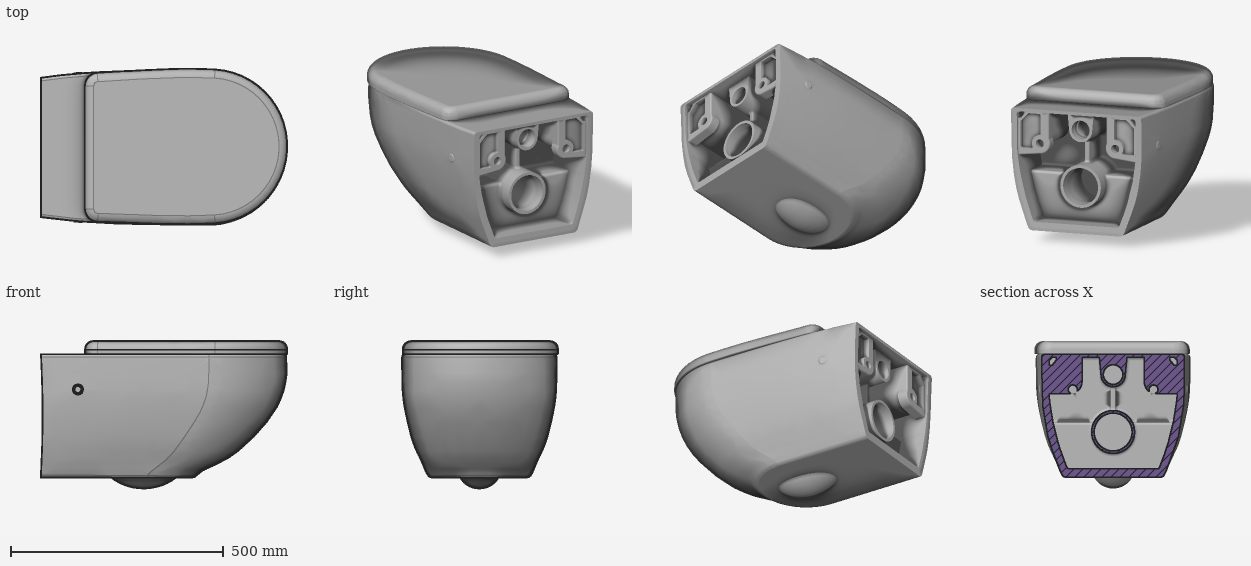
import cadquery as cq
import math


BOWL_HEIGHT = 290.0
BOWL_RIM_ROUND = 7.0
BOWL_FOOT_ROUND = 12.5
BOWL_SECTIONS = [
    (116.5, 116.5, 249.0, 364.0),
    (131.5, 134.7, 286.7, 422.0),
    (144.7, 151.7, 320.4, 475.5),
    (154.0, 163.5, 345.6, 511.9),
    (159.7, 171.8, 368.6, 541.7),
    (163.0, 178.4, 385.0, 562.4),
    (163.5, 181.2, 392.8, 574.2),
    (163.5, 181.9, 395.0, 578.6),
    (163.0, 179.8, 395.0, 576.8),
]
BOWL_SIDE_SWELL = 3.4
WALL_FACE_HOLLOW = 4.0
WALL_FACE_FOOT = 7.6

TRAP_X = 241.7
TRAP_DROP = 25.9
TRAP_TUBE_RADIUS = 51.5
TRAP_OUTER_RADIUS = 124.0
TRAP_ROOT_HEIGHT = 15.0

RECESS_CEILING = 282.5
RECESS_FLOOR = 20.7
RECESS_SIDE = 149.7
RECESS_SIDE_BEND = 190.0
RECESS_WAIST = (134.2, 101.0)
RECESS_FLOOR_HALF_WIDTH = 107.0
RECESS_CORNER_ROUND = 7.0
LOWER_WALL_X = 71.0
UPPER_WALL_X = 144.0
SHELF_HEIGHT = 129.7
CAST_ROUND = 7.0
FAR_WALL_ROUND = 8.0

OUTLET_HEIGHT = 107.0
OUTLET_DIAMETER = 102.0
OUTLET_BORE = 88.0
OUTLET_BORE_END_X = 150.0
SPOUT_FACE_X = 30.0

INLET_HEIGHT = 242.0
INLET_BOSS_RADIUS = 29.0
INLET_BOSS_TOP_HALF_WIDTH = 33.0
INLET_MOUTH = 45.0
INLET_MOUTH_DEPTH = 30.0
INLET_BORE = 38.98
INLET_BORE_END_X = 150.0

RIB_THICKNESS = 12.0
RIB_EDGE_ROUND = 3.0
RIB_END_ROUND = 6.0

PAD_FACE_X = 9.5
BOLT_Y = 95.0
BOLT_HEIGHT = 207.0
BOLT_HOLE = 20.0
BOLT_HOLE_DEPTH = 30.0
PAD_BOSS_RADIUS = 25.0
PAD_INNER_Y = 72.5
PAD_BOTTOM_DROP = 6.0
PAD_EDGE_ROUND = 4.0
PAD_DEPTH = 24.5
PAD_BACKING_RADIUS = 30.0
PAD_BACKING_BOTTOM = 196.0
NOTCH_WIDTH = 15.7
NOTCH_HEIGHT = 18.0
NOTCH_SHORT_SIDE = 6.5
NOTCH_DEPTH = 35.0
WINDOW_DEPTH = 14.0
WINDOW_BOSS_RADIUS = 20.0
WINDOW_INNER_Y = 92.7
WINDOW_OUTER_Y = 143.0
WINDOW_BOTTOM = 194.0
WINDOW_TOP = 277.7
WINDOW_CLIP = 20.0
WINDOW_ROUND = 3.0

PLUG_X = 87.3
PLUG_HEIGHT = 207.0
PLUG_Y = 172.6
PLUG_TILT = 5.0
PLUG_DIAMETER = 24.0
PLUG_FACE = 16.0
PLUG_PROUD = 2.5
PLUG_SEAT_DEPTH = 4.0
PLUG_STEM = 16.0
PLUG_STEM_LENGTH = 12.0

COVER_BACK_X = 103.8
COVER_NOSE_X = 579.45
COVER_SHOULDER_X = 409.0
COVER_BACK_HALF_WIDTH = 173.5
COVER_NOSE_RADIUS = 181.2
COVER_NOSE_Y = 2.7
COVER_SIDE_SWELL = 1.5
COVER_CORNER_RADIUS = 30.0
SEAT_THICKNESS = 10.0
SEAT_EDGE_ROUND = 2.5
COVER_TOP = 320.96
LID_ROUND = 20.0

ALONG_X = cq.Vector(1, 0, 0)


def at_wall(x):
    """Workplane facing +X at the given X, with local axes Y and Z."""
    return cq.Workplane("YZ", origin=(x, 0, 0))


def bowl_section(height, back, shoulder, shoulder_x, nose_x):
    """Closed horizontal outline: flat back, swelling sides and a half-elliptic nose."""
    right_back = cq.Vector(0, -back, height)
    left_back = cq.Vector(0, back, height)
    right_shoulder = cq.Vector(shoulder_x, -shoulder, height)
    left_shoulder = cq.Vector(shoulder_x, shoulder, height)
    right_chord = right_shoulder - right_back
    swell = cq.Vector(right_chord.x, BOWL_SIDE_SWELL * right_chord.y, 0)
    right_side = cq.Edge.makeSpline([right_back, right_shoulder], [swell, ALONG_X])
    left_side = cq.Edge.makeSpline(
        [left_shoulder, left_back], [-ALONG_X, cq.Vector(-swell.x, swell.y, 0)]
    )
    nose = cq.Edge.makeEllipse(
        nose_x - shoulder_x,
        shoulder,
        cq.Vector(shoulder_x, 0, height),
        angle1=-90,
        angle2=90,
    )
    back_edge = cq.Edge.makeLine(left_back, right_back)
    return cq.Wire.assembleEdges([right_side, nose, left_side, back_edge])


def trap_bulge():
    """Lowest part of a ring lying in the X-Z plane."""
    ring_radius = TRAP_OUTER_RADIUS - TRAP_TUBE_RADIUS
    ring = cq.Solid.makeTorus(
        ring_radius,
        TRAP_TUBE_RADIUS,
        cq.Vector(TRAP_X, 0, TRAP_OUTER_RADIUS - TRAP_DROP),
        cq.Vector(0, 1, 0),
    )
    keep = cq.Workplane("XY").workplane(offset=-TRAP_DROP - 1).center(TRAP_X, 0).rect(
        2 * TRAP_OUTER_RADIUS, 2 * TRAP_OUTER_RADIUS
    ).extrude(TRAP_DROP + 1 + TRAP_ROOT_HEIGHT)
    return keep.intersect(cq.Workplane(ring))


def bowl_shell():
    spacing = BOWL_HEIGHT / (len(BOWL_SECTIONS) - 1)
    sections = [
        bowl_section(level * spacing, *section) for level, section in enumerate(BOWL_SECTIONS)
    ]
    shell = cq.Workplane(cq.Solid.makeLoft(sections))
    shell = shell.faces(">Z").edges("not(<X)").fillet(BOWL_RIM_ROUND)
    shell = shell.faces("<Z").edges("not(<X)").fillet(BOWL_FOOT_ROUND)
    hollow = (
        cq.Workplane("XZ")
        .moveTo(0, WALL_FACE_FOOT)
        .threePointArc(
            (WALL_FACE_HOLLOW, (WALL_FACE_FOOT + BOWL_HEIGHT) / 2), (0, BOWL_HEIGHT)
        )
        .close()
        .extrude(BOWL_HEIGHT, both=True)
    )
    return shell.cut(hollow)


def recess_blank(depth, bottom):
    """Recess outline cut from the wall face to a depth, kept above a height."""
    waist_y, waist_z = RECESS_WAIST
    blank = (
        at_wall(-1)
        .moveTo(-RECESS_FLOOR_HALF_WIDTH, RECESS_FLOOR)
        .lineTo(RECESS_FLOOR_HALF_WIDTH, RECESS_FLOOR)
        .threePointArc((waist_y, waist_z), (RECESS_SIDE, RECESS_SIDE_BEND))
        .lineTo(RECESS_SIDE, RECESS_CEILING)
        .lineTo(-RECESS_SIDE, RECESS_CEILING)
        .lineTo(-RECESS_SIDE, RECESS_SIDE_BEND)
        .threePointArc((-waist_y, waist_z), (-RECESS_FLOOR_HALF_WIDTH, RECESS_FLOOR))
        .close()
        .extrude(depth + 1)
    )
    corners = cq.selectors.BoxSelector(
        (-2, -RECESS_SIDE - 1, RECESS_CEILING - 1), (depth + 1, RECESS_SIDE + 1, RECESS_CEILING + 1)
    )
    blank = blank.edges("|X").edges(corners).fillet(RECESS_CORNER_ROUND)
    blank = blank.faces("<Z").edges("|X").fillet(RECESS_CORNER_ROUND)
    if bottom > RECESS_FLOOR:
        below = cq.Workplane("XY").box(
            4 * UPPER_WALL_X, 4 * RECESS_SIDE, bottom, centered=(True, True, False)
        )
        blank = blank.cut(below)
    return blank


def inlet_boss():
    """Tongue hanging from the ceiling, rounded about the inlet."""
    rise = RECESS_CEILING - INLET_HEIGHT
    reach = math.hypot(INLET_BOSS_TOP_HALF_WIDTH, rise)
    tangent = math.atan2(rise, INLET_BOSS_TOP_HALF_WIDTH) - math.acos(INLET_BOSS_RADIUS / reach)
    flank_y = INLET_BOSS_RADIUS * math.cos(tangent)
    flank_z = INLET_HEIGHT + INLET_BOSS_RADIUS * math.sin(tangent)
    top = RECESS_CEILING + CAST_ROUND
    return (
        at_wall(SPOUT_FACE_X)
        .moveTo(-flank_y, flank_z)
        .threePointArc((0, INLET_HEIGHT - INLET_BOSS_RADIUS), (flank_y, flank_z))
        .lineTo(INLET_BOSS_TOP_HALF_WIDTH, RECESS_CEILING)
        .lineTo(INLET_BOSS_TOP_HALF_WIDTH, top)
        .lineTo(-INLET_BOSS_TOP_HALF_WIDTH, top)
        .lineTo(-INLET_BOSS_TOP_HALF_WIDTH, RECESS_CEILING)
        .close()
        .extrude(UPPER_WALL_X + 1 - SPOUT_FACE_X)
    )


def outlet_pipe():
    return (
        at_wall(SPOUT_FACE_X)
        .center(0, OUTLET_HEIGHT)
        .circle(OUTLET_DIAMETER / 2)
        .extrude(UPPER_WALL_X + 1 - SPOUT_FACE_X)
    )


def rib():
    return (
        cq.Workplane("XY")
        .workplane(offset=OUTLET_HEIGHT)
        .center((LOWER_WALL_X + UPPER_WALL_X + 1) / 2, 0)
        .rect(UPPER_WALL_X + 1 - LOWER_WALL_X, RIB_THICKNESS)
        .extrude(INLET_HEIGHT - OUTLET_HEIGHT)
        .edges("<X and |Z")
        .fillet(RIB_EDGE_ROUND)
    )


def mounting_pad(side):
    """Pad across the upper recess corner on one side (+1 for +Y, -1 for -Y)."""
    boss_top = BOLT_HEIGHT + math.sqrt(PAD_BOSS_RADIUS**2 - (BOLT_Y - PAD_INNER_Y)**2)
    bottom = BOLT_HEIGHT - PAD_BOSS_RADIUS
    diagonal = PAD_BOSS_RADIUS * math.sqrt(0.5)
    outer_y = RECESS_SIDE + 1
    top = RECESS_CEILING + 1
    return (
        at_wall(PAD_FACE_X)
        .moveTo(side * PAD_INNER_Y, top)
        .lineTo(side * PAD_INNER_Y, boss_top)
        .threePointArc(
            (side * (BOLT_Y - diagonal), BOLT_HEIGHT - diagonal), (side * BOLT_Y, bottom)
        )
        .lineTo(side * outer_y, bottom - PAD_BOTTOM_DROP)
        .lineTo(side * outer_y, top)
        .close()
        .extrude(PAD_DEPTH)
        .faces("<X")
        .edges(cq.selectors.BoxSelector(
            (0, -outer_y + 1, 0), (PAD_FACE_X + 1, outer_y - 1, top - 1)
        ))
        .fillet(PAD_EDGE_ROUND)
    )


def pad_window(side):
    """Blind pocket in the pad face, stepping around the bolt hole."""
    window = (
        at_wall(PAD_FACE_X)
        .moveTo(side * WINDOW_INNER_Y, WINDOW_BOTTOM)
        .lineTo(side * WINDOW_OUTER_Y, WINDOW_BOTTOM)
        .lineTo(side * WINDOW_OUTER_Y, WINDOW_TOP - WINDOW_CLIP)
        .lineTo(side * (WINDOW_OUTER_Y - WINDOW_CLIP), WINDOW_TOP)
        .lineTo(side * WINDOW_INNER_Y, WINDOW_TOP)
        .close()
        .extrude(WINDOW_DEPTH)
    )
    bolt_surround = (
        at_wall(PAD_FACE_X)
        .center(side * BOLT_Y, BOLT_HEIGHT)
        .circle(WINDOW_BOSS_RADIUS)
        .extrude(WINDOW_DEPTH)
    )
    return window.cut(bolt_surround).edges("|X").fillet(WINDOW_ROUND)


def pad_backing(side):
    """Solid corner between the pad and the far wall, a little smaller than the pad."""
    outer_y = RECESS_SIDE + 1
    top = RECESS_CEILING + 1
    radius = PAD_BACKING_RADIUS
    centre_y = PAD_INNER_Y + radius
    centre_z = PAD_BACKING_BOTTOM + radius
    diagonal = radius * math.sqrt(0.5)
    start_x = PAD_FACE_X + PAD_DEPTH
    return (
        at_wall(start_x)
        .moveTo(side * PAD_INNER_Y, top)
        .lineTo(side * PAD_INNER_Y, centre_z)
        .threePointArc(
            (side * (centre_y - diagonal), centre_z - diagonal),
            (side * centre_y, PAD_BACKING_BOTTOM),
        )
        .lineTo(side * outer_y, PAD_BACKING_BOTTOM)
        .lineTo(side * outer_y, top)
        .close()
        .extrude(UPPER_WALL_X + 1 - start_x)
    )


def pad_notch(side):
    """Clipped corner of the pad, leaving a small opening under the ceiling."""
    return (
        at_wall(PAD_FACE_X)
        .moveTo(side * RECESS_SIDE, RECESS_CEILING - RECESS_CORNER_ROUND)
        .lineTo(side * (RECESS_SIDE - RECESS_CORNER_ROUND), RECESS_CEILING)
        .lineTo(side * (RECESS_SIDE - NOTCH_WIDTH), RECESS_CEILING)
        .lineTo(side * (RECESS_SIDE - NOTCH_WIDTH), RECESS_CEILING - NOTCH_SHORT_SIDE)
        .lineTo(side * (RECESS_SIDE - NOTCH_SHORT_SIDE), RECESS_CEILING - NOTCH_HEIGHT)
        .lineTo(side * RECESS_SIDE, RECESS_CEILING - NOTCH_HEIGHT)
        .close()
        .extrude(NOTCH_DEPTH)
    )


def bore(diameter, y, z, start_x, end_x):
    return at_wall(start_x).center(y, z).circle(diameter / 2).extrude(end_x - start_x)


def rounded_recess(recess):
    """Round the rib ends, the far wall between the pads, the shelf lip and the outlet root."""
    slack = 0.1
    outlet_reach = OUTLET_DIAMETER / 2 + slack
    box = cq.selectors.BoxSelector
    rib_half = RIB_THICKNESS / 2 + slack
    rib_ends = box(
        (LOWER_WALL_X - slack, -rib_half, OUTLET_HEIGHT),
        (UPPER_WALL_X - slack, rib_half, INLET_HEIGHT),
    )
    far_wall = box(
        (UPPER_WALL_X - slack, slack - PAD_INNER_Y, SHELF_HEIGHT - slack),
        (UPPER_WALL_X + slack, PAD_INNER_Y - slack, RECESS_CEILING + slack),
    )
    lip = box(
        (LOWER_WALL_X - slack, -RECESS_SIDE, SHELF_HEIGHT - slack),
        (LOWER_WALL_X + slack, RECESS_SIDE, SHELF_HEIGHT + slack),
    )
    outlet_root = box(
        (LOWER_WALL_X - slack, -outlet_reach, OUTLET_HEIGHT - outlet_reach),
        (LOWER_WALL_X + slack, outlet_reach, SHELF_HEIGHT - slack),
    )
    recess = recess.edges("not(|Z)").edges(rib_ends).fillet(RIB_END_ROUND)
    recess = recess.faces(">X").edges(far_wall).fillet(FAR_WALL_ROUND)
    recess = recess.edges(lip).fillet(CAST_ROUND)
    return recess.edges("%CIRCLE").edges(outlet_root).fillet(CAST_ROUND)


def make_bowl():
    bowl = bowl_shell()
    bowl = bowl.union(trap_bulge())
    recess = recess_blank(LOWER_WALL_X, RECESS_FLOOR)
    recess = recess.union(recess_blank(UPPER_WALL_X, SHELF_HEIGHT))
    recess = recess.cut(outlet_pipe()).cut(inlet_boss()).cut(rib())
    for side in (1, -1):
        recess = recess.cut(mounting_pad(side)).cut(pad_backing(side))
    recess = rounded_recess(recess)
    bowl = bowl.cut(recess)
    bowl = bowl.cut(bore(OUTLET_BORE, 0, OUTLET_HEIGHT, SPOUT_FACE_X, OUTLET_BORE_END_X))
    bowl = bowl.cut(bore(INLET_BORE, 0, INLET_HEIGHT, SPOUT_FACE_X, INLET_BORE_END_X))
    mouth_end = SPOUT_FACE_X + INLET_MOUTH_DEPTH
    bowl = bowl.cut(bore(INLET_MOUTH, 0, INLET_HEIGHT, SPOUT_FACE_X, mouth_end))
    for side in (1, -1):
        hole_end = PAD_FACE_X + BOLT_HOLE_DEPTH
        bowl = bowl.cut(bore(BOLT_HOLE, side * BOLT_Y, BOLT_HEIGHT, PAD_FACE_X, hole_end))
        bowl = bowl.cut(pad_window(side)).cut(pad_notch(side))
    return bowl


def make_plug(side):
    """Round cover plug with a bevelled head and a stem, tilted to sit flush on the side."""
    bevel = (PLUG_DIAMETER - PLUG_FACE) / 2
    tilt = math.radians(PLUG_TILT)
    outward = cq.Vector(-math.sin(tilt), side * math.cos(tilt), 0)
    axis = cq.Plane(
        origin=(PLUG_X, side * PLUG_Y, PLUG_HEIGHT), xDir=(0, 0, 1), normal=outward.toTuple()
    )
    head = (
        cq.Workplane(axis)
        .workplane(offset=-PLUG_SEAT_DEPTH)
        .circle(PLUG_DIAMETER / 2)
        .extrude(PLUG_SEAT_DEPTH + PLUG_PROUD)
        .faces(cq.selectors.DirectionMinMaxSelector(outward))
        .chamfer(PLUG_PROUD, bevel)
    )
    stem = (
        cq.Workplane(axis)
        .workplane(offset=-PLUG_SEAT_DEPTH - PLUG_STEM_LENGTH)
        .circle(PLUG_STEM / 2)
        .extrude(PLUG_STEM_LENGTH)
    )
    return head.union(stem)


def cover_outline(height):
    """Plan outline shared by the seat and the lid, slightly fuller on +Y than on -Y."""
    nose_centre_x = COVER_NOSE_X - COVER_NOSE_RADIUS
    past_centre = COVER_SHOULDER_X - nose_centre_x
    shoulder_half = math.sqrt(COVER_NOSE_RADIUS**2 - past_centre**2)
    right = COVER_NOSE_Y - shoulder_half
    left = COVER_NOSE_Y + shoulder_half
    back = COVER_BACK_HALF_WIDTH
    length = COVER_SHOULDER_X - COVER_BACK_X
    right_flare = (length, -COVER_SIDE_SWELL * (-right - back))
    left_flare = (-length, -COVER_SIDE_SWELL * (left - back))
    into_nose = (shoulder_half, past_centre)
    out_of_nose = (-shoulder_half, past_centre)
    return (
        cq.Workplane("XY", origin=(0, 0, height))
        .moveTo(COVER_BACK_X, -back)
        .spline([(COVER_SHOULDER_X, right)], tangents=[right_flare, into_nose], includeCurrent=True)
        .threePointArc((COVER_NOSE_X, COVER_NOSE_Y), (COVER_SHOULDER_X, left))
        .spline([(COVER_BACK_X, back)], tangents=[out_of_nose, left_flare], includeCurrent=True)
        .close()
    )


def cover_slab(bottom, thickness):
    slab = cover_outline(bottom).extrude(thickness)
    return slab.edges("|Z and <X").fillet(COVER_CORNER_RADIUS)


def make_seat():
    return cover_slab(BOWL_HEIGHT, SEAT_THICKNESS).faces("<Z").edges().fillet(SEAT_EDGE_ROUND)


def make_lid():
    bottom = BOWL_HEIGHT + SEAT_THICKNESS
    return cover_slab(bottom, COVER_TOP - bottom).faces(">Z").edges().fillet(LID_ROUND)


bowl = make_bowl()
plugs = [make_plug(side) for side in (1, -1)]
for plug in plugs:
    bowl = bowl.cut(plug)
seat = make_seat()
lid = make_lid()

result = cq.Compound.makeCompound(
    [bowl.val(), seat.val(), lid.val(), *(plug.val() for plug in plugs)]
)